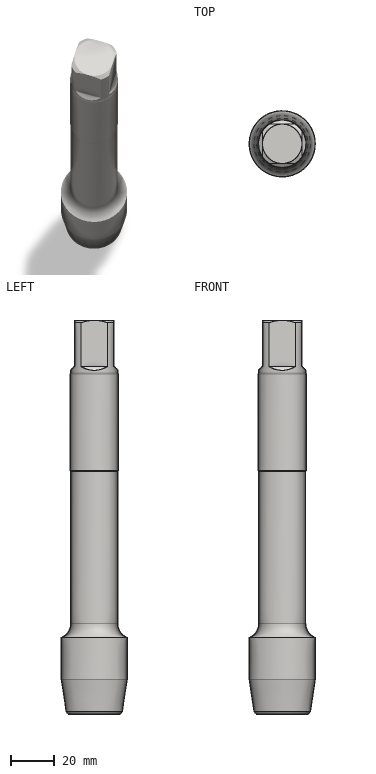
import cadquery as cq
import math

total_length = 180.0
head_diameter = 30.25
neck_diameter = 21.5
shank_diameter = 22.0
drive_diameter = 21.7

head_length = 35.0
taper_length = 16.0
tip_diameter = 25.8
tip_chamfer = 1.2

flare_radius = 7.0
shank_bottom = 111.0
shank_top = 156.0
shank_top_chamfer = 0.6
shank_bottom_chamfer = 0.5

square_width = 18.0
square_length = 21.0
end_cone_angle = 30.0

head_radius = head_diameter / 2
neck_radius = neck_diameter / 2
shank_radius = shank_diameter / 2
drive_radius = drive_diameter / 2
tip_radius = tip_diameter / 2
end_flat_radius = square_width / 2

flare_center_radius = neck_radius + flare_radius
flare_sweep = math.acos((flare_center_radius - head_radius) / flare_radius)
neck_bottom = head_length + flare_radius * math.sin(flare_sweep)
flare_middle = (
    flare_center_radius - flare_radius * math.cos(flare_sweep / 2),
    neck_bottom - flare_radius * math.sin(flare_sweep / 2),
)

end_cone_height = (drive_radius - end_flat_radius) * math.tan(math.radians(end_cone_angle))

square_bottom = total_length - square_length
runout = drive_radius - square_width / 2
runout_bottom = square_bottom - runout


def revolve_about_z(profile):
    """Turn a closed (radius, height) profile about the Z axis."""
    return profile.close().revolve(360, (0, 0, 0), (0, 1, 0))


def make_cutting_head():
    """Cylinder with a tapered lead and a chamfered tip."""
    profile = (
        cq.Workplane("XZ")
        .lineTo(tip_radius - tip_chamfer, 0)
        .lineTo(tip_radius, tip_chamfer)
        .lineTo(head_radius, taper_length)
        .lineTo(head_radius, head_length)
        .lineTo(0, head_length)
    )
    return revolve_about_z(profile)


def make_round_shank():
    """Turned blank: flared neck, chamfered shank and coned drive end."""
    profile = (
        cq.Workplane("XZ")
        .moveTo(0, head_length)
        .lineTo(head_radius, head_length)
        .threePointArc(flare_middle, (neck_radius, neck_bottom))
        .lineTo(neck_radius, shank_bottom)
        .lineTo(shank_radius, shank_bottom + shank_bottom_chamfer)
        .lineTo(shank_radius, shank_top - shank_top_chamfer)
        .lineTo(drive_radius, shank_top)
        .lineTo(drive_radius, total_length - end_cone_height)
        .lineTo(end_flat_radius, total_length)
        .lineTo(0, total_length)
    )
    return revolve_about_z(profile)


def make_square_waste():
    """Material outside the drive square, ending in a 45 degree slope below each flat."""
    block = (
        cq.Workplane("XY")
        .workplane(offset=runout_bottom)
        .rect(drive_diameter, drive_diameter)
        .extrude(runout + square_length)
    )
    square = (
        cq.Workplane("XY")
        .workplane(offset=square_bottom)
        .rect(square_width, square_width)
        .extrude(square_length)
    )
    slope = (
        cq.Workplane("XY")
        .workplane(offset=runout_bottom)
        .rect(drive_diameter, drive_diameter)
        .workplane(offset=runout)
        .rect(square_width, square_width)
        .loft()
    )
    return block.cut(square).cut(slope)


cutting_head = make_cutting_head()
shank = make_round_shank().cut(make_square_waste()).solids()

result = cq.Compound.makeCompound([cutting_head.val(), shank.val()])